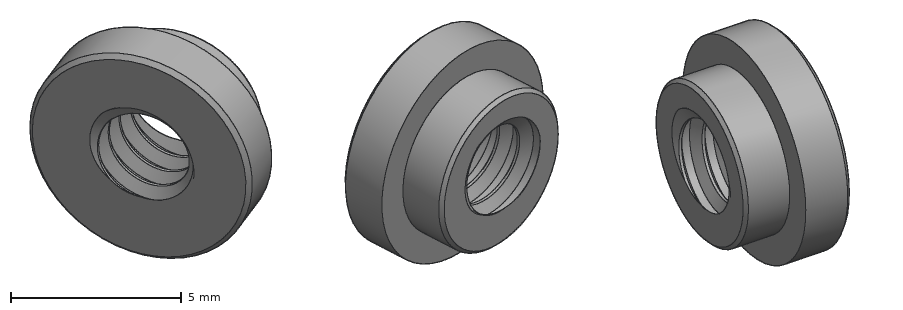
import cadquery as cq
import math

flange_diameter = 7.14
shank_diameter = 5.28
flange_thickness = 1.57
total_length = 3.09
flange_chamfer = 0.14
shank_chamfer = 0.115

thread_minor_diameter = 2.77
thread_major_diameter = 3.505
thread_pitch = 0.79
thread_root_width = 0.27
flank_angle = 30
groove_face_angle = -70
bore_overlap = 0.02
end_turns = 0.5


def make_body():
    """Flange and shank, with chamfered ends and a plain bore."""
    flange = cq.Workplane("XY").circle(flange_diameter / 2).extrude(flange_thickness)
    flange = flange.faces("<Z").chamfer(flange_chamfer)
    shank = cq.Workplane("XY").circle(shank_diameter / 2).extrude(total_length)
    shank = shank.faces(">Z").chamfer(shank_chamfer)
    bore = cq.Workplane("XY").circle(thread_minor_diameter / 2).extrude(total_length)
    return flange.union(shank).cut(bore)


def make_thread_groove():
    """Trapezoidal helical groove that runs out through both end faces."""
    outer_radius = thread_major_diameter / 2
    inner_radius = thread_minor_diameter / 2 - bore_overlap
    root_half = thread_root_width / 2
    mouth_half = root_half + (outer_radius - inner_radius) * math.tan(math.radians(flank_angle))
    start_z = -end_turns * thread_pitch
    turns = math.ceil(total_length / thread_pitch) + 2 * end_turns

    helix = cq.Wire.makeHelix(thread_pitch, turns * thread_pitch, inner_radius)
    groove = (
        cq.Workplane("XZ")
        .moveTo(inner_radius, -mouth_half)
        .lineTo(outer_radius, -root_half)
        .lineTo(outer_radius, root_half)
        .lineTo(inner_radius, mouth_half)
        .close()
        .sweep(helix, isFrenet=True)
    )
    return groove.translate((0, 0, start_z))


threaded_part = make_body().cut(make_thread_groove())

spin_angle = groove_face_angle - 360 * end_turns
threaded_part = threaded_part.rotate((0, 0, 0), (0, 0, 1), spin_angle)

result = threaded_part.rotate((0, 0, 0), (1, 0, 0), -90)